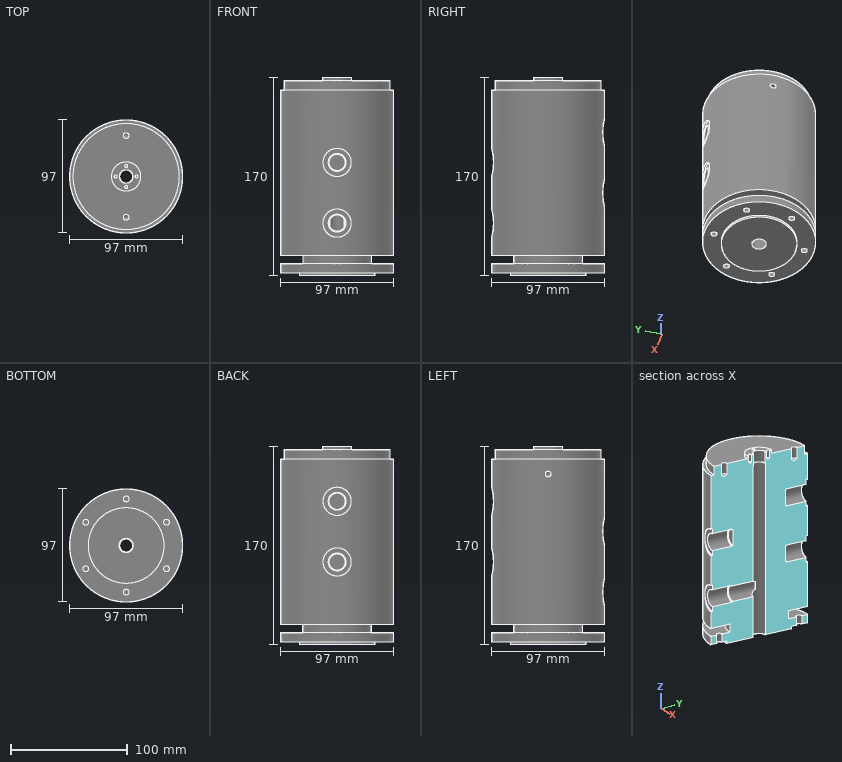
import cadquery as cq
import math

body_diameter = 97.0
spigot_diameter = 65.0
neck_diameter = 59.0
cap_diameter = 91.0
boss_diameter = 25.0
cap_bore_diameter = 11.0
body_bore_diameter = 12.0

flange_bottom = 2.2
flange_top = 10.2
body_bottom = 17.2
body_top = 159.1
cap_top = 167.1
total_height = 170.0

seat_diameter = 24.1
port_diameter = 15.3
port_floor_chamfer = 0.7
port_depth = 20.4
front_port_heights = (45.0, 97.0)
back_port_heights = (70.9, 122.9)

drill_tip_angle = 118.0
set_screw_diameter = 5.0
set_screw_depth = 10.2
set_screw_height = 146.2
cap_hole_diameter = 5.0
cap_hole_radius = 35.0
cap_hole_depth = 10.2
cap_hole_count = 2
boss_hole_diameter = 2.5
boss_hole_radius = 9.0
boss_hole_depth = 6.8
boss_hole_count = 4

flange_hole_diameter = 5.0
flange_hole_radius = 40.0
flange_hole_count = 6

body_radius = body_diameter / 2
seat_radius = seat_diameter / 2
channel_diameter = port_diameter - 2 * port_floor_chamfer
seat_distance = math.sqrt(body_radius**2 - seat_radius**2)


def disc(diameter, bottom, top):
    return cq.Workplane("XY").workplane(offset=bottom).circle(diameter / 2).extrude(top - bottom)


def drilled_hole(diameter, depth):
    """Cutter that starts at the origin, runs along -Z and ends in a drill cone."""
    radius = diameter / 2
    tip_length = radius / math.tan(math.radians(drill_tip_angle / 2))
    return (
        cq.Workplane("XZ")
        .polyline([(0, 0), (radius, 0), (radius, -depth), (0, -depth - tip_length)])
        .close()
        .revolve(360, (0, 0, 0), (0, 1, 0))
    )


def ring_points(radius, count):
    """Points evenly spaced on a circle, the first one on the -Y side."""
    angles = [2 * math.pi * i / count - math.pi / 2 for i in range(count)]
    return [(radius * math.cos(angle), radius * math.sin(angle)) for angle in angles]


def port_cutter(height):
    """Cutter for one port entering from the -Y side."""
    seat = (
        cq.Workplane("XZ", origin=(0, -seat_distance, height))
        .circle(seat_radius)
        .extrude(body_radius - seat_distance)
    )
    hole = (
        cq.Workplane("XZ", origin=(0, -seat_distance, height))
        .circle(port_diameter / 2)
        .extrude(-port_depth)
        .faces(">Y")
        .chamfer(port_floor_chamfer)
    )
    return seat.union(hole)


result = (
    disc(spigot_diameter, 0, flange_bottom)
    .union(disc(body_diameter, flange_bottom, flange_top))
    .union(disc(neck_diameter, flange_top, body_bottom))
    .union(disc(body_diameter, body_bottom, body_top))
    .union(disc(cap_diameter, body_top, cap_top))
    .union(disc(boss_diameter, cap_top, total_height))
    .cut(disc(body_bore_diameter, 0, body_top))
    .cut(disc(cap_bore_diameter, body_top, total_height))
)

for height in front_port_heights:
    result = result.cut(port_cutter(height))
for height in back_port_heights:
    back_port = port_cutter(height).rotate((0, 0, 0), (0, 0, 1), 180)
    result = result.cut(back_port)

channel = (
    cq.Workplane("XZ", origin=(0, 0, min(front_port_heights)))
    .circle(channel_diameter / 2)
    .extrude(seat_distance)
)
result = result.cut(channel)

set_screw_hole = (
    drilled_hole(set_screw_diameter, set_screw_depth)
    .rotate((0, 0, 0), (0, 1, 0), -90)
    .translate((-body_radius, 0, set_screw_height))
)
result = result.cut(set_screw_hole)

for x, y in ring_points(cap_hole_radius, cap_hole_count):
    cap_hole = drilled_hole(cap_hole_diameter, cap_hole_depth)
    result = result.cut(cap_hole.translate((x, y, cap_top)))
for x, y in ring_points(boss_hole_radius, boss_hole_count):
    boss_hole = drilled_hole(boss_hole_diameter, boss_hole_depth)
    result = result.cut(boss_hole.translate((x, y, total_height)))

for x, y in ring_points(flange_hole_radius, flange_hole_count):
    flange_hole = disc(flange_hole_diameter, flange_bottom, flange_top)
    result = result.cut(flange_hole.translate((x, y, 0)))